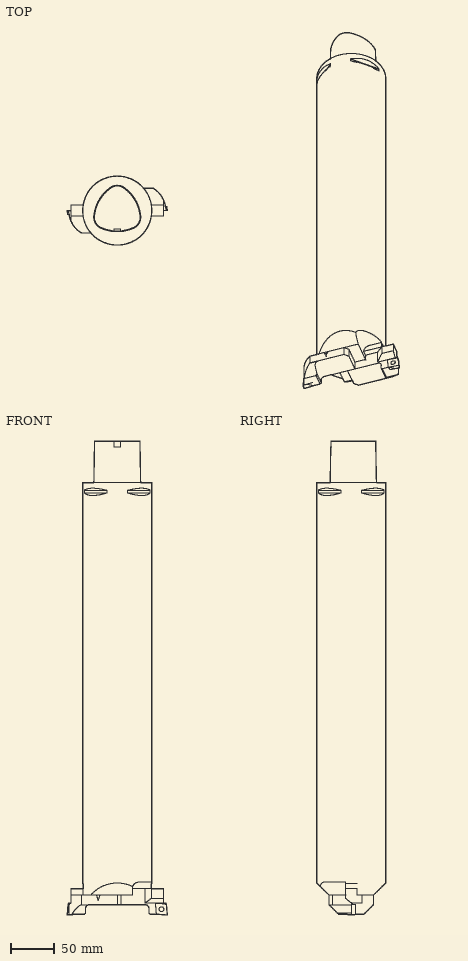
import cadquery as cq
import math


body_radius = 40.0
shank_height = 48.0
tip_z = -500.0
body_bottom_z = -476.5
chamfer_top_z = -462.8
end_half_width = 26.0

corner_radius = 13.8
corner_offset = 15.5
flank_distance = 24.5
shank_taper = math.degrees(math.atan(1 / 60))
shank_slot_width = 8.0
shank_slot_height = 7.0
shank_slot_floor_y = -21.3

groove_depth = 4.5
groove_root_top_z = -9.0
groove_root_bottom_z = -12.0
groove_top_z = -6.5
groove_bottom_z = -15.0
groove_count = 4

pocket_top_z = -461.8
pocket_inner_x = 17.4
pocket_fillet = 7.5
relief_top_z = -463.5
relief_x = 39.4

key_half_width = 6.5
key_top_z = -469.3
key_outer_x = 53.6
head_inner_x = 32.0
head_inner_slope = 7.5
head_bottom_z = -486.0
head_bottom_slope = 5.5
slide_overlap = 4.5
slide_bottom_z = -488.0
lobe_centre_x = 26.0
lobe_radius = 30.2
flat_half_width = 14.0
notch_x = 22.0
notch_width = 4.0
notch_height = 6.5
notch_depth = 2.0
foot_bottom_z = -499.0
foot_inner_x = 36.5
foot_root_fillet = 4.0
foot_corner_fillet = 1.5
foot_chamfer = 11.5

tip_x = 57.985
insert_angle = math.radians(80)
insert_side = 12.9
insert_thickness = 4.76
insert_clearance = 7.0
insert_nose_radius = 0.8
insert_hole_diameter = 5.5


def box(x0, x1, y0, y1, z0, z1):
    """Axis-aligned box between the given limits."""
    return cq.Workplane("XY").box(x1 - x0, y1 - y0, z1 - z0, centered=False).translate((x0, y0, z0))


def opposite(shape):
    """The same shape turned half a turn about the tool axis."""
    return shape.rotate((0, 0, 0), (0, 0, 1), 180)


def polar(radius, degrees, centre=(0.0, 0.0)):
    angle = math.radians(degrees)
    return (centre[0] + radius * math.cos(angle), centre[1] + radius * math.sin(angle))


def make_shank():
    difference = flank_distance - corner_radius
    flank_offset = (corner_offset**2 - difference**2) / (2 * difference - corner_offset)
    half_turn = math.degrees(math.atan2(
        flank_offset * math.sin(math.radians(60)),
        corner_offset + flank_offset * math.cos(math.radians(60)),
    ))
    outline = cq.Workplane("XY").moveTo(
        *polar(corner_radius, 90 - half_turn, polar(corner_offset, 90))
    )
    for corner_angle in (90, 210, 330):
        corner = polar(corner_offset, corner_angle)
        next_corner = polar(corner_offset, corner_angle + 120)
        outline = outline.threePointArc(
            polar(corner_radius, corner_angle, corner),
            polar(corner_radius, corner_angle + half_turn, corner),
        )
        outline = outline.threePointArc(
            polar(flank_distance, corner_angle + 60),
            polar(corner_radius, corner_angle + 120 - half_turn, next_corner),
        )
    shank = outline.close().extrude(shank_height, taper=shank_taper)
    slot = box(
        -shank_slot_width / 2, shank_slot_width / 2,
        -body_radius, shank_slot_floor_y,
        shank_height - shank_slot_height, shank_height,
    )
    return shank.cut(slot)


def make_groove():
    """Tapered groove across the +X side of the body."""
    return (
        cq.Workplane("XZ")
        .moveTo(body_radius - groove_depth, groove_root_top_z)
        .lineTo(body_radius, groove_top_z)
        .lineTo(body_radius, groove_bottom_z)
        .lineTo(body_radius - groove_depth, groove_root_bottom_z)
        .close()
        .extrude(body_radius, both=True)
    )


def make_pocket():
    """Open space in front of a slide, rounded where its inner wall meets its top."""
    return box(
        pocket_inner_x, body_radius, -body_radius, -key_half_width, body_bottom_z, pocket_top_z
    ).edges("|Y and <X and >Z").fillet(pocket_fillet)


def make_key_slot():
    return box(
        pocket_inner_x, body_radius, -key_half_width, key_half_width, body_bottom_z, key_top_z
    )


def make_relief():
    return box(
        relief_x, body_radius, -body_radius, body_radius, body_bottom_z, relief_top_z
    )


def make_body():
    profile = (
        cq.Workplane("YZ")
        .moveTo(-body_radius, 0)
        .lineTo(-body_radius, chamfer_top_z)
        .lineTo(-end_half_width, body_bottom_z)
        .lineTo(end_half_width, body_bottom_z)
        .lineTo(body_radius, chamfer_top_z)
        .lineTo(body_radius, 0)
        .close()
        .extrude(body_radius, both=True)
    )
    barrel = cq.Workplane("XY").circle(body_radius).extrude(body_bottom_z).intersect(profile)
    for cutter in (make_pocket(), make_key_slot(), make_relief()):
        barrel = barrel.cut(cutter).cut(opposite(cutter))
    for index in range(groove_count):
        angle = (index + 0.5) * 360 / groove_count
        barrel = barrel.cut(make_groove().rotate((0, 0, 0), (0, 0, 1), angle))
    return barrel.union(make_shank())


def insert_corners():
    """Sharp corners of the rhombus, whose long diagonal leans 45 degrees from the tip."""
    diagonal = math.sqrt(0.5)
    nose_overshoot = insert_nose_radius / math.sin(insert_angle / 2)
    long_half = insert_side * math.cos(insert_angle / 2)
    short_half = insert_side * math.sin(insert_angle / 2)
    centre = (
        tip_x - insert_nose_radius - diagonal * (long_half - nose_overshoot),
        tip_z + insert_nose_radius + diagonal * (long_half - nose_overshoot),
    )
    reach = [(long_half, -long_half), (short_half, short_half)]
    reach += [(-across, -up) for across, up in reach]
    corners = [(centre[0] + diagonal * across, centre[1] + diagonal * up) for across, up in reach]
    return centre, corners


def make_insert_blank():
    """Rhombic insert without its hole, rake face on Y = 0, narrowing towards its seat."""
    corners = insert_corners()[1]
    outline = cq.Sketch().polygon(corners + corners[:1]).vertices().fillet(insert_nose_radius)
    return (
        cq.Workplane("XZ").placeSketch(outline).extrude(-insert_thickness, taper=insert_clearance)
    )


def make_insert():
    hole = (
        cq.Workplane("XZ")
        .center(*insert_corners()[0])
        .circle(insert_hole_diameter / 2)
        .extrude(-insert_thickness)
    )
    return make_insert_blank().cut(hole)


def lobe_outline():
    flat_end_x = lobe_centre_x + math.sqrt(lobe_radius**2 - end_half_width**2)
    return (
        cq.Workplane("XY")
        .moveTo(-slide_overlap, 0)
        .lineTo(-slide_overlap, end_half_width - slide_overlap)
        .lineTo(0, end_half_width)
        .lineTo(flat_end_x, end_half_width)
        .threePointArc(
            polar(lobe_radius, 30, (lobe_centre_x, 0)),
            (lobe_centre_x + lobe_radius, 0),
        )
        .close()
    )


def make_foot():
    foot_side = (
        cq.Workplane("XZ")
        .moveTo(foot_inner_x - foot_root_fillet, slide_bottom_z)
        .radiusArc((foot_inner_x, slide_bottom_z - foot_root_fillet), foot_root_fillet)
        .lineTo(foot_inner_x, foot_bottom_z + foot_corner_fillet)
        .lineTo(foot_inner_x + foot_corner_fillet, foot_bottom_z)
        .lineTo(tip_x, foot_bottom_z)
        .lineTo(tip_x, slide_bottom_z)
        .close()
        .extrude(-end_half_width)
    )
    column = lobe_outline().extrude(foot_bottom_z).intersect(foot_side)
    corner = (
        cq.Workplane("YZ")
        .moveTo(end_half_width, foot_bottom_z)
        .lineTo(end_half_width, foot_bottom_z + foot_chamfer)
        .lineTo(end_half_width - foot_chamfer, foot_bottom_z)
        .close()
        .extrude(tip_x)
    )
    return column.cut(corner)


def make_head():
    """Head that stands out in front of the rake plane, sloped on its inner and lower sides."""
    block = box(head_inner_x, key_outer_x, -key_half_width, 0, head_bottom_z, key_top_z)
    inner_slope = (
        cq.Workplane("XY")
        .moveTo(head_inner_x, 0)
        .lineTo(head_inner_x + head_inner_slope, -key_half_width)
        .lineTo(head_inner_x, -key_half_width)
        .close()
        .extrude(tip_z)
    )
    lower_slope = (
        cq.Workplane("YZ")
        .moveTo(0, head_bottom_z)
        .lineTo(-key_half_width, head_bottom_z + head_bottom_slope)
        .lineTo(-key_half_width, head_bottom_z)
        .close()
        .extrude(tip_x)
    )
    return block.cut(inner_slope).cut(lower_slope)


def make_notch():
    return (
        cq.Workplane("XZ", origin=(0, end_half_width, 0))
        .moveTo(notch_x - notch_width / 2, body_bottom_z)
        .lineTo(notch_x + notch_width / 2, body_bottom_z)
        .lineTo(notch_x, body_bottom_z - notch_height)
        .close()
        .extrude(notch_depth)
    )


def make_slide():
    lobe = lobe_outline().extrude(body_bottom_z - slide_bottom_z).translate((0, 0, slide_bottom_z))
    outer_flat = box(key_outer_x, tip_x, 0, flat_half_width, head_bottom_z, body_bottom_z)
    key = box(pocket_inner_x, key_outer_x, 0, key_half_width, slide_bottom_z, key_top_z)
    slide = lobe.cut(outer_flat).union(key).union(make_head()).union(make_foot())
    return slide.cut(make_notch()).cut(make_insert_blank())


body = make_body()
slide = make_slide()
insert = make_insert()

result = cq.Compound.makeCompound([
    body.val(),
    slide.val(),
    opposite(slide).val(),
    insert.val(),
    opposite(insert).val(),
])